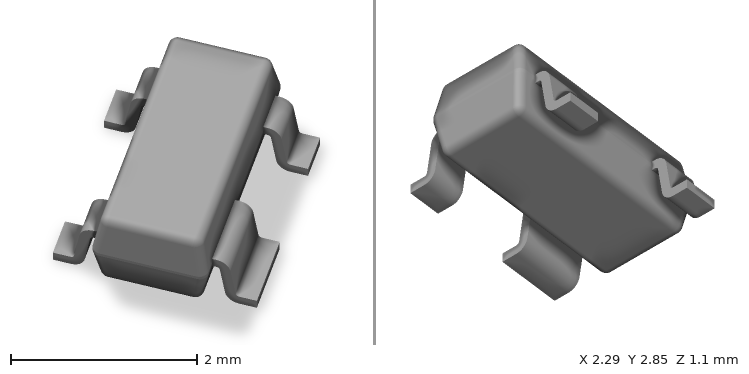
import cadquery as cq
import math

body_width = 1.3
body_length = 2.85
top_z = 1.1
standoff = 0.1
band_height = 0.04
draft_angle = 10.0
body_fillet = 0.1

tip_span = 2.29
strip_thickness = 0.12
inner_bend_radius = 0.04
foot_length = 0.2
leg_angle = 9.0
narrow_lead = 0.45
wide_lead = 0.85
lead_outer_y = 1.175
lead_embed = 0.142

parting_z = (top_z + standoff) / 2
taper_height = (top_z - standoff - band_height) / 2


def tapered_half(direction):
    """Half of the body above (+1) or below (-1) the band, narrowing away from it."""
    return (
        cq.Workplane("XY", origin=(0, 0, parting_z + direction * band_height / 2))
        .rect(body_width, body_length)
        .extrude(direction * taper_height, taper=draft_angle)
    )


def make_body():
    band = (
        cq.Workplane("XY", origin=(0, 0, parting_z - band_height / 2))
        .rect(body_width, body_length)
        .extrude(band_height)
    )
    body = band.union(tapered_half(1)).union(tapered_half(-1))
    corner_edges = body.edges("not #Z")
    rim_edges = body.faces("<Z or >Z").edges()
    return body.newObject(corner_edges.vals() + rim_edges.vals()).fillet(body_fillet)


def lead_profile():
    """Closed outline of the lead on the +X side: foot, leg and shoulder in the XZ plane."""
    angle = math.radians(leg_angle)
    outer_bend_radius = inner_bend_radius + strip_thickness
    bend_radii_sum = inner_bend_radius + outer_bend_radius

    rise = parting_z - strip_thickness / 2
    leg_length = (rise - bend_radii_sum * (1 - math.sin(angle))) / math.cos(angle)
    bend_spacing = bend_radii_sum * math.cos(angle) + leg_length * math.sin(angle)

    tip_x = tip_span / 2
    foot_x = tip_x - foot_length
    foot_center_z = outer_bend_radius
    shoulder_x = foot_x - bend_spacing
    shoulder_top = parting_z + strip_thickness / 2
    shoulder_center_z = shoulder_top - outer_bend_radius
    shoulder_bottom = shoulder_top - strip_thickness
    inner_x = body_width / 2 - lead_embed

    def foot_bend(radius, turn):
        return (foot_x - radius * math.cos(turn), foot_center_z - radius * math.sin(turn))

    def shoulder_bend(radius, turn):
        return (shoulder_x + radius * math.cos(turn), shoulder_center_z + radius * math.sin(turn))

    middle = (angle + math.pi / 2) / 2
    return (
        cq.Workplane("XZ")
        .moveTo(tip_x, 0)
        .lineTo(foot_x, 0)
        .threePointArc(foot_bend(outer_bend_radius, middle), foot_bend(outer_bend_radius, angle))
        .lineTo(*shoulder_bend(inner_bend_radius, angle))
        .threePointArc(shoulder_bend(inner_bend_radius, middle), (shoulder_x, shoulder_bottom))
        .lineTo(inner_x, shoulder_bottom)
        .lineTo(inner_x, shoulder_top)
        .lineTo(shoulder_x, shoulder_top)
        .threePointArc(shoulder_bend(outer_bend_radius, middle), shoulder_bend(outer_bend_radius, angle))
        .lineTo(*foot_bend(inner_bend_radius, angle))
        .threePointArc(foot_bend(inner_bend_radius, middle), (foot_x, strip_thickness))
        .lineTo(tip_x, strip_thickness)
        .close()
    )


def make_lead(x_side, y_side, width):
    """Lead whose outer edge is at lead_outer_y on the chosen side of the body."""
    center_y = y_side * (lead_outer_y - width / 2)
    lead = lead_profile().extrude(width / 2, both=True)
    if x_side < 0:
        lead = lead.mirror("YZ")
    return lead.translate((0, center_y, 0))


result = make_body()
for x_side in (-1, 1):
    for y_side in (-1, 1):
        is_wide = x_side > 0 and y_side < 0
        width = wide_lead if is_wide else narrow_lead
        result = result.union(make_lead(x_side, y_side, width))